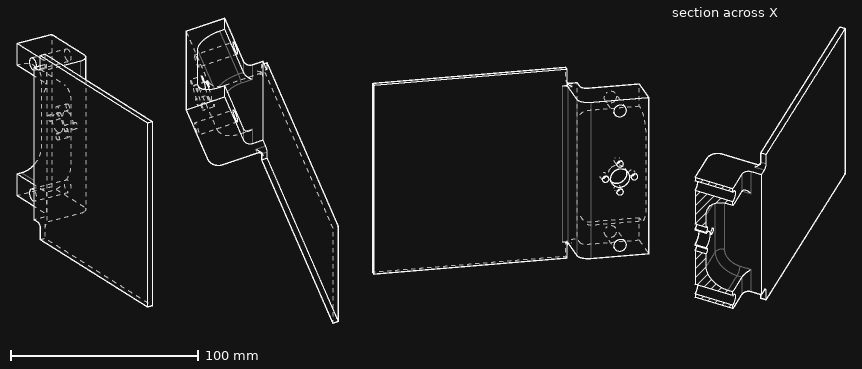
import cadquery as cq

length = 144.3
depth = 31.7
plate_height = 107.5

plate_thickness = 3.2

block_length = 38.1
block_height = 88.9
block_front = 9.7
web_front_x = 31.7
block_corner_radius = 6.2
inner_fillet = 3.8
junction_fillet = 2.5

pocket_height = 63.5
pocket_floor = 25.2
pocket_corner_radius = 12.7

hole_x = 15.9
mount_hole_diameter = 6.8
mount_hole_offset = 38.2
center_hole_diameter = 10.4
small_hole_diameter = 3.5
small_hole_offset = 8.0

clearance = 17.3


def box(x_range, y_range, z_range):
    """Box spanning the given (low, high) range along each axis."""
    sizes = [high - low for low, high in (x_range, y_range, z_range)]
    corner = (x_range[0], y_range[0], z_range[0])
    return cq.Workplane("XY").box(*sizes, centered=False).translate(corner)


def centered(size):
    return (-size / 2, size / 2)


def make_plate():
    return box((block_length, length), (0, plate_thickness), centered(plate_height))


def make_block():
    block = box((0, block_length), (0, depth), centered(block_height))
    return block.edges("|Z and >X and >Y").fillet(block_corner_radius)


def front_step():
    """Clears the block's front, leaving the web standing at its +X end."""
    step = box((-clearance, web_front_x), (-clearance, block_front), centered(block_height))
    return step.edges("|Z and >X and >Y").fillet(inner_fillet)


def pocket():
    """Recess open at the front and at -X, with rounded corners and a filleted end."""
    recess = box((-clearance, web_front_x), (-clearance, pocket_floor), centered(pocket_height))
    recess = recess.edges("|X and >Y").fillet(pocket_corner_radius)
    return recess.faces(">X").edges("not <Y").fillet(inner_fillet)


def through_hole(x, z, diameter):
    return cq.Workplane("XZ").center(x, z).circle(diameter / 2).extrude(-depth)


def concave_fillet(plane, corner, directions, start, run):
    """Fillet strip in a concave corner, with legs along the two local directions."""
    u, v = corner
    du, dv = [sign * junction_fillet for sign in directions]
    strip = cq.Workplane(plane).moveTo(u + du, v).lineTo(u, v).lineTo(u, v + dv)
    bulge = 1 - 0.5 ** 0.5
    strip = strip.threePointArc((u + du * bulge, v + dv * bulge), (u + du, v)).close()
    return strip.extrude(run).translate(start)


def back_fillet():
    """Fillet between the back of the plate and the +X face of the web."""
    corner = (block_length, plate_thickness)
    start = (0, 0, -block_height / 2)
    return concave_fillet("XY", corner, (1, 1), start, block_height)


def notch_fillet(side):
    """Fillet between the plate's end and the block's end, blended at the plate's back."""
    end_z = side * block_height / 2
    reach = plate_thickness + junction_fillet
    fill = concave_fillet("XZ", (block_length, end_z), (-1, side), (0, 0, 0), -reach)
    root_x = block_length - junction_fillet
    start = (root_x, 0, 0)
    blend = concave_fillet("YZ", (plate_thickness, end_z), (1, side), start, junction_fillet)
    z_range = sorted((end_z, end_z + side * junction_fillet))
    plate_zone = box((root_x, block_length), (0, plate_thickness), z_range)
    return fill.intersect(plate_zone.union(blend))


result = make_block().cut(front_step()).cut(pocket())
result = result.union(make_plate()).union(back_fillet())
for side in (-1, 1):
    result = result.union(notch_fillet(side))

result = result.cut(through_hole(hole_x, 0, center_hole_diameter))
for side in (-1, 1):
    result = result.cut(through_hole(hole_x, side * mount_hole_offset, mount_hole_diameter))
    result = result.cut(through_hole(hole_x + side * small_hole_offset, 0, small_hole_diameter))
    result = result.cut(through_hole(hole_x, side * small_hole_offset, small_hole_diameter))